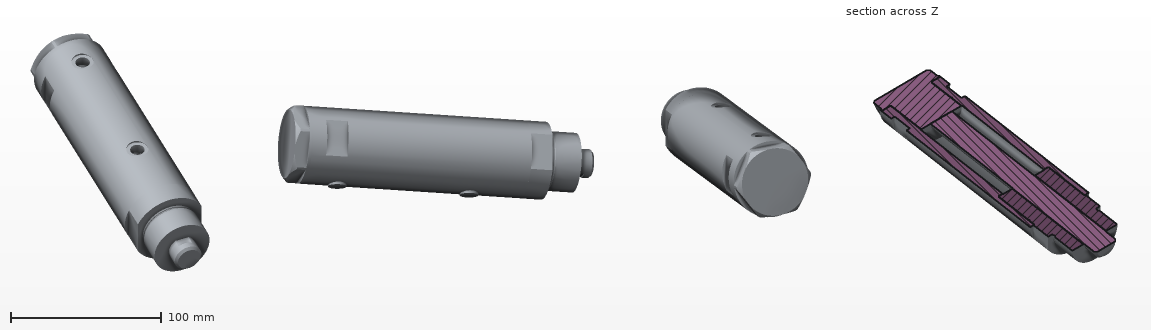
import cadquery as cq
import math


total_length = 210.0
body_radius = 26.0
width_across_flats = 46.0
flat_distance = width_across_flats / 2

head_length = 9.0
flange_end = 11.1
head_face_radius = 23.0
head_chamfer_length = 2.7
stem_radius = 18.0
stem_end = 42.0
hexagon_turn = 7.5

housing_end = 162.3
flat_width = 15.0
housing_flat_start = 21.0
port_positions = (30.5, 122.9)
port_radius = 4.8
spot_face_radius = 7.4
spot_face_height = 24.8
boss_positions = (34.9, 125.8)
boss_radius = 6.3
boss_bottom = -27.0
boss_top = -23.0

spigot_start = 125.5
spigot_radius = 21.8
collar_end = housing_end + flat_width
nose_radius = 20.0
land_radius = 19.5
land_length = 1.3
groove_radius = 19.1
groove_end = 179.5
nose_chamfer = nose_radius - groove_radius
nose_end = 198.3

shaft_radius = 9.7
shaft_flat_distance = 8.5
shaft_flat_end = 204.0
tip_chamfer = 1.7


def turned(points):
    """Revolve (x, radius) points, joined in order, about the X axis."""
    return cq.Workplane("XZ").polyline(points).close().revolve(360, (0, 0, 0), (1, 0, 0))


def rod(x_start, x_end, radius):
    """Solid cylinder along the X axis."""
    return turned([(x_start, 0), (x_start, radius), (x_end, radius), (x_end, 0)])


def upright_cylinder(x, radius, z_bottom, z_top):
    """Solid cylinder along Z, centred on the X axis."""
    return cq.Workplane("XY", origin=(x, 0, z_bottom)).circle(radius).extrude(z_top - z_bottom)


def side_flats(x_start, x_end):
    """Two blocks whose removal leaves wrench flats on the -Y and +Y sides."""
    depth = body_radius
    middle = ((x_start + x_end) / 2, flat_distance + depth / 2, 0)
    block = cq.Workplane("XY", origin=middle).box(x_end - x_start, depth, 2 * body_radius)
    return block.union(block.mirror("XZ"))


def make_end_cap():
    head = turned([
        (0, 0),
        (0, head_face_radius),
        (head_chamfer_length, body_radius),
        (head_length, body_radius),
        (head_length, 0),
    ])
    corner_diameter = width_across_flats / math.cos(math.pi / 6)
    hexagon = cq.Workplane("YZ").polygon(6, corner_diameter).extrude(head_length)
    hexagon = hexagon.rotate((0, 0, 0), (1, 0, 0), -hexagon_turn)
    cap = head.intersect(hexagon)
    cap = cap.union(rod(head_length, flange_end, body_radius))
    cap = cap.union(rod(flange_end, stem_end, stem_radius))
    return cap


def make_housing():
    housing = rod(flange_end, housing_end, body_radius)
    housing = housing.cut(side_flats(housing_flat_start, housing_flat_start + flat_width))
    for x in boss_positions:
        housing = housing.union(upright_cylinder(x, boss_radius, boss_bottom, boss_top))
    housing = housing.cut(rod(flange_end, spigot_start, stem_radius))
    housing = housing.cut(rod(spigot_start, housing_end, spigot_radius))
    for x in port_positions:
        housing = housing.cut(upright_cylinder(x, spot_face_radius, spot_face_height, body_radius))
        housing = housing.cut(upright_cylinder(x, port_radius, 0, body_radius))
    return housing


def make_front_piece():
    land_end = collar_end + land_length
    piece = turned([
        (spigot_start, shaft_radius),
        (spigot_start, spigot_radius),
        (housing_end, spigot_radius),
        (housing_end, body_radius),
        (collar_end, body_radius),
        (collar_end, land_radius),
        (land_end, land_radius),
        (land_end, groove_radius),
        (groove_end, groove_radius),
        (groove_end + nose_chamfer, nose_radius),
        (nose_end, nose_radius),
        (nose_end, shaft_radius),
    ])
    return piece.cut(side_flats(housing_end, collar_end))


def make_shaft():
    shaft = turned([
        (stem_end, 0),
        (stem_end, shaft_radius),
        (total_length - tip_chamfer, shaft_radius),
        (total_length, shaft_radius - tip_chamfer),
        (total_length, 0),
    ])
    flat_length = shaft_flat_end - nose_end
    flat_middle = ((nose_end + shaft_flat_end) / 2, 0, shaft_flat_distance + shaft_radius / 2)
    block = cq.Workplane("XY", origin=flat_middle).box(flat_length, 2 * shaft_radius, shaft_radius)
    return shaft.cut(block).cut(block.mirror("XY"))


end_cap = make_end_cap()
housing = make_housing()
front_piece = make_front_piece()
shaft = make_shaft()

result = cq.Compound.makeCompound([end_cap.val(), housing.val(), front_piece.val(), shaft.val()])